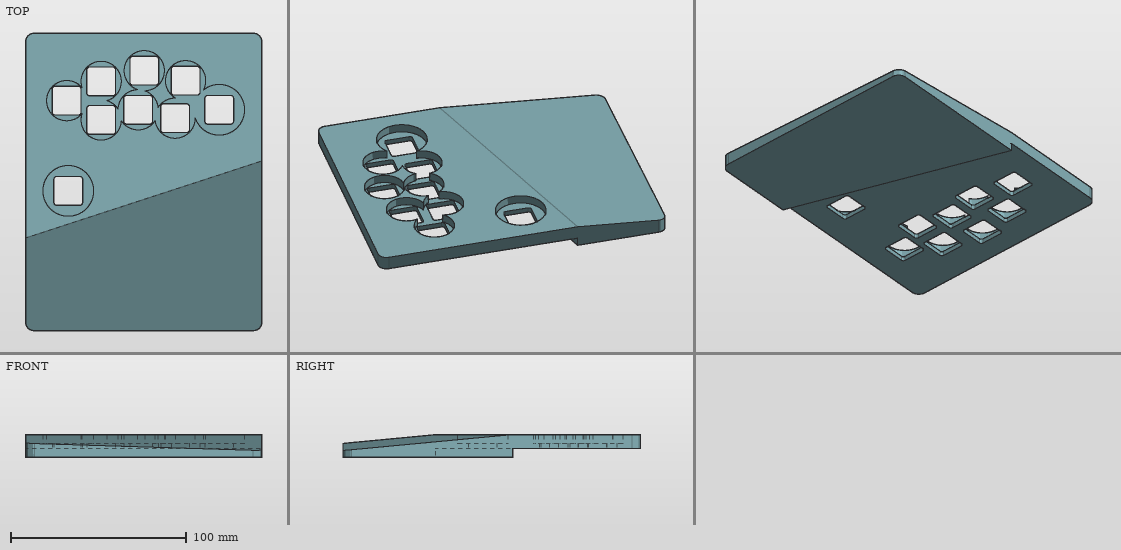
import cadquery as cq

WIDTH = 135.0
LENGTH = 170.0
PLATE_THICKNESS = 8.0
CORNER_RADIUS = 5.0

FOOT_DROP = 5.0
FRONT_DROP = 5.0
CREASE_LEFT = 53.0
CREASE_RIGHT = 97.0

OPENING_SIZE = 16.3
OPENING_CORNER_RADIUS = 1.5
SMALL_RECESS_DIAMETER = 23.0
LARGE_RECESS_DIAMETER = 29.0
RECESS_DEPTH = 5.0

THUMB_BUTTON = (-43.1, -5.1)
INDEX_BOTTOM = (-24.3, 35.4)
INDEX_TOP = (-24.3, 57.4)
INDEX_SIDE = (-44.0, 46.4)
MIDDLE_BOTTOM = (-3.2, 41.2)
MIDDLE_TOP = (0.3, 63.5)
RING_BOTTOM = (17.9, 36.4)
RING_TOP = (23.9, 57.8)
OUTER_BUTTON = (43.1, 41.2)

SMALL_BUTTONS = [
    INDEX_BOTTOM,
    INDEX_TOP,
    INDEX_SIDE,
    MIDDLE_BOTTOM,
    MIDDLE_TOP,
    RING_BOTTOM,
    RING_TOP,
]
LARGE_BUTTONS = [THUMB_BUTTON, OUTER_BUTTON]

MERGED_BUTTONS = [
    (INDEX_SIDE, INDEX_TOP, INDEX_BOTTOM),
    (RING_BOTTOM, RING_TOP, OUTER_BUTTON),
]

HALF_WIDTH = WIDTH / 2
FRONT = -LENGTH / 2
TOP = FOOT_DROP + PLATE_THICKNESS
CREASE_LEFT_Y = FRONT + CREASE_LEFT
CREASE_RIGHT_Y = FRONT + CREASE_RIGHT


def make_body():
    """Rounded block with the full height of the part."""
    block = cq.Workplane("XY").box(WIDTH, LENGTH, TOP, centered=(True, True, False))
    return block.edges("|Z").fillet(CORNER_RADIUS)


def make_underside_relief():
    """Volume below the plate, behind the crease."""
    return (
        cq.Workplane("XY")
        .moveTo(-HALF_WIDTH, CREASE_LEFT_Y)
        .lineTo(HALF_WIDTH, CREASE_RIGHT_Y)
        .lineTo(HALF_WIDTH, -FRONT)
        .lineTo(-HALF_WIDTH, -FRONT)
        .close()
        .extrude(FOOT_DROP)
    )


def make_slope_cutter():
    """Volume above the plane that falls from the crease towards the front."""
    left_point = cq.Vector(-HALF_WIDTH, CREASE_LEFT_Y, TOP)
    right_point = cq.Vector(HALF_WIDTH, CREASE_RIGHT_Y, TOP)
    front_point = cq.Vector(-HALF_WIDTH, FRONT, TOP - FRONT_DROP)
    crease = right_point - left_point
    normal = crease.cross(left_point - front_point)
    slope = cq.Plane(origin=left_point.toTuple(), xDir=crease.toTuple(), normal=normal.toTuple())
    reach = WIDTH + LENGTH
    return (
        cq.Workplane(slope)
        .rect(2 * reach, reach)
        .extrude(TOP)
        .translate(slope.yDir * (-reach / 2))
    )


def recess_floor():
    """Workplane on the floor of the recesses."""
    return cq.Workplane("XY", origin=(0, 0, TOP - RECESS_DEPTH))


def make_recess(center, diameter):
    """Round recess sunk into the top of the plate."""
    return recess_floor().moveTo(*center).circle(diameter / 2).extrude(RECESS_DEPTH)


def make_link(centers):
    """Triangular recess that clears the material between three buttons."""
    return recess_floor().polyline(centers).close().extrude(RECESS_DEPTH)


def make_openings(centers):
    """Rounded square openings through the plate."""
    return (
        cq.Workplane("XY")
        .pushPoints(centers)
        .rect(OPENING_SIZE, OPENING_SIZE)
        .extrude(TOP)
        .edges("|Z")
        .fillet(OPENING_CORNER_RADIUS)
    )


result = (
    make_body()
    .cut(make_underside_relief())
    .cut(make_slope_cutter())
    .cut(make_openings(SMALL_BUTTONS + LARGE_BUTTONS))
)
for small_center in SMALL_BUTTONS:
    result = result.cut(make_recess(small_center, SMALL_RECESS_DIAMETER))
for large_center in LARGE_BUTTONS:
    result = result.cut(make_recess(large_center, LARGE_RECESS_DIAMETER))
for group in MERGED_BUTTONS:
    result = result.cut(make_link(group))